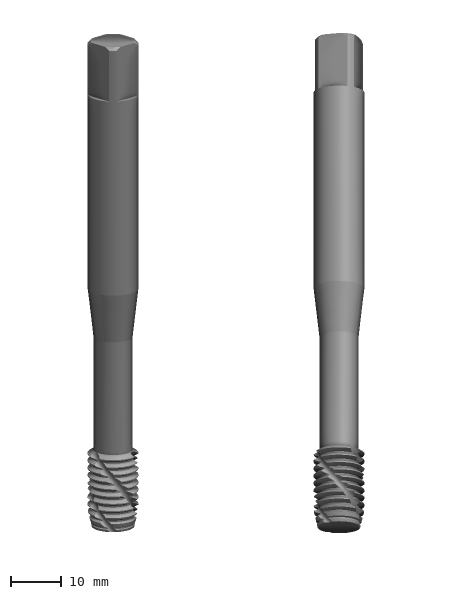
import cadquery as cq
import math

total_length = 100.0
body_radius = 5.0

square_length = 11.0
square_width = 8.0
end_chamfer = 0.6
taper_top = 49.0
taper_length = 10.0
neck_diameter = 7.7

pitch = 1.5
root_radius = 4.1
head_length = 15.8
top_crest = 15.0
crest_flat = 0.2
root_flat = 0.3
lead_radius = 4.2
lead_length = 3.4

flute_count = 3
flute_radius = 1.4
flute_floor_radius = 3.9
flute_lead = 32.0
flute_start_angle = 260.0

neck_radius = neck_diameter / 2
flank_height = (pitch - crest_flat - root_flat) / 2
flute_twist = 360 * head_length / flute_lead
ring_count = math.ceil(head_length / pitch)


def revolve_outline(points):
    """Solid of revolution about Z from a closed outline of (radius, height) points."""
    return cq.Workplane("XZ").polyline(points).close().revolve(360, (0, 0), (0, 1))


def make_shank():
    """Round shank with a taper down to the neck and a driving square at the top."""
    shank = revolve_outline([
        (0, head_length),
        (neck_radius, head_length),
        (neck_radius, taper_top - taper_length),
        (body_radius, taper_top),
        (body_radius, total_length - end_chamfer),
        (body_radius - end_chamfer, total_length),
        (0, total_length),
    ])
    around_square = (
        cq.Workplane("XY")
        .workplane(offset=total_length - square_length)
        .circle(2 * body_radius)
        .rect(square_width, square_width)
        .extrude(square_length)
    )
    return shank.cut(around_square)


def make_ringed_head():
    """Thread made of closed rings, tapered at the tip by the lead-in cone."""
    outline = [(0, head_length), (neck_radius, head_length)]
    for ring in range(ring_count):
        crest = top_crest - ring * pitch
        if ring > 0:
            outline.append((root_radius, crest + crest_flat / 2 + flank_height))
        outline += [
            (body_radius, crest + crest_flat / 2),
            (body_radius, crest - crest_flat / 2),
            (root_radius, crest - crest_flat / 2 - flank_height),
        ]
    lowest_root = outline[-1][1]
    outline.append((0, lowest_root))
    lead_envelope = revolve_outline([
        (0, 0),
        (lead_radius, 0),
        (body_radius, lead_length),
        (body_radius, head_length),
        (0, head_length),
    ])
    return revolve_outline(outline).intersect(lead_envelope)


def make_flute_cutter(start_angle):
    """Round groove that winds along the head; start_angle is its direction at the top."""
    cutter = (
        cq.Workplane("XY")
        .moveTo(flute_floor_radius + flute_radius, 0)
        .circle(flute_radius)
        .twistExtrude(head_length, -flute_twist)
    )
    return cutter.rotate((0, 0, 0), (0, 0, 1), start_angle + flute_twist)


def make_head():
    """Threaded head with its winding flutes."""
    head = make_ringed_head()
    for flute in range(flute_count):
        angle = flute_start_angle + flute * 360 / flute_count
        head = head.cut(make_flute_cutter(angle))
    return head


shank = make_shank()
head = make_head()
result = cq.Compound.makeCompound([shank.solids().val(), head.solids().val()])